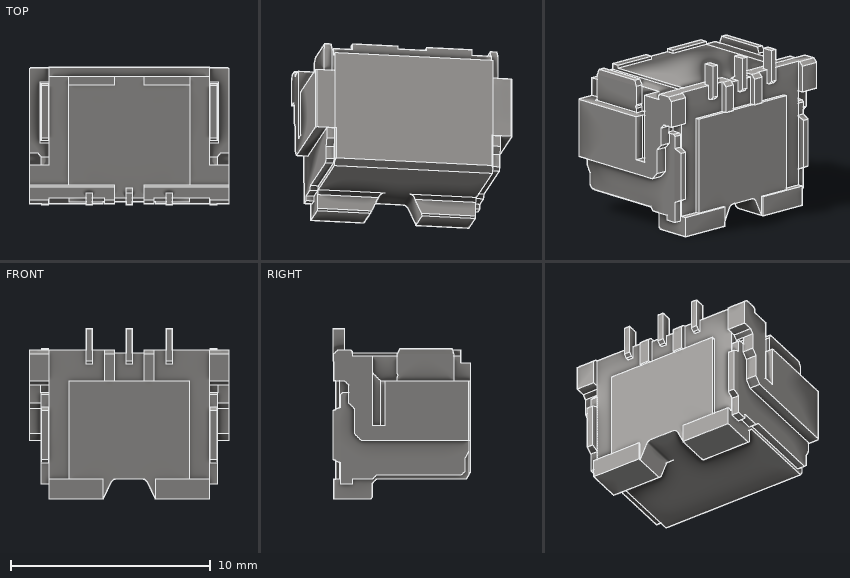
import cadquery as cq


WIDTH = 10.0
DEPTH = 6.89
HALF_WIDTH = WIDTH / 2
CORE_HALF_WIDTH = 4.02
SKIRT_HALF_WIDTH = 4.42

BELLY_Z = 1.01
SHELF_Z = 5.92
REAR_STEP_Z = 6.83
SHOULDER_Z = 7.18
LID_Z = 7.32
FLANGE_TOP_Z = 7.47
PIN_TOP_Z = 8.54

FLANGE_FRONT_Y = 0.04
PANEL_FRONT_Y = 0.14
PLATE_FRONT_Y = 0.33
SKIRT_FRONT_Y = 0.39
FLANGE_REAR_Y = 0.98
WEB_REAR_Y = 1.98
REAR_STEP_Y = 6.41
WALL_REAR_Y = 6.86

FLANGE_CHAMFER = 0.2
FLANGE_REAR_CHAMFER = 0.08
GAP_HALF_WIDTH = 0.73
RIB_OUTER_X = 1.24

LID_HALF_WIDTH = 3.04
RIDGE_DEPTH = 0.41
PANEL_HALF_WIDTH = 3.01

FOOT_INNER_X = 1.31
FOOT_CHAMFER = 0.1
NOTCH_TOP_HALF_WIDTH = 0.83
NOTCH_FILLET = 0.3
BELLY_CHAMFER = 0.2
REAR_CHAMFER_Y = 0.21
REAR_CHAMFER_Z = 0.35

WALL_BOTTOM_Z = 2.94
WALL_NOTCH_Y = 0.79
WALL_FLANK_Y = 1.08
KNEE_STEP = WALL_FLANK_Y - WALL_NOTCH_Y
WALL_KNEE_Z = 4.82
WALL_BOTTOM_CHAMFER = 0.34
CORNER_CHAMFER = 0.07
SLOT_BOTTOM_Z = 3.68
SLOT_REAR_Y = 2.6
SLOT_STEP_Y = 2.39
WEB_RAMP = SLOT_STEP_Y - WEB_REAR_Y
SLOT_STEP_X = 4.41
SLOT_LEAD_IN = 0.17

SKIRT_TOP_Z = 5.34
SKIRT_BOTTOM_Z = 0.76
SKIRT_TAB_REAR_Y = 0.97
SKIRT_REAR_Y = 6.8
SKIRT_LOWER_REAR_Y = 6.6
SKIRT_BELLY_Z = BELLY_Z + BELLY_CHAMFER
SKIRT_BEVEL_BOTTOM_Z = 2.02
SKIRT_BEVEL_TOP_Z = 2.4
SKIRT_CORNER_CHAMFER = 0.18
SKIRT_TOP_CHAMFER = 0.09
SKIRT_GAP_X = 4.45

FIN_INNER_X = CORE_HALF_WIDTH
FIN_TIP_INNER_X = 4.05
FIN_TIP_OUTER_X = 4.38
FIN_TOP_Z = 7.54
FIN_SHOULDER_Z = 7.26
FIN_ROOT_Z = 5.7
FIN_REAR_Y = 6.06
FIN_FRONT_Y = 3.21
FIN_REAR_TAPER = 0.09
FIN_FRONT_TAPER = 0.14
FIN_GROOVE_Z = 6.2
FIN_GROOVE_HALF_HEIGHT = 0.09
FIN_GROOVE_DEPTH = 0.05
FRONT_FIN_TOP_Z = 4.62
FRONT_FIN_BOTTOM_Z = 1.81
FRONT_FIN_TAPER = 0.18
FIN_POCKET_X = 4.46
FIN_POCKET_REAR_Y = 6.14
FIN_POCKET_FRONT_Y = 3.1

PIN_PITCH = 2.0
PIN_WIDTH = 0.31
PIN_DEPTH = 0.58
PIN_BOTTOM_Z = 6.76
PIN_CHAMFER = 0.16
PIN_BEND = 0.25


def box(x0, x1, y0, y1, z0, z1):
    return cq.Workplane("XY").box(x1 - x0, y1 - y0, z1 - z0, centered=False).translate((x0, y0, z0))


def slab(x0, x1, points):
    """Extrude a (y, z) outline from x0 to x1."""
    return cq.Workplane("YZ").workplane(offset=x0).polyline(points).close().extrude(x1 - x0)


def both_sides(shape):
    return shape.union(shape.mirror("YZ"))


def core():
    outline = [
        (PLATE_FRONT_Y, 0),
        (WEB_REAR_Y - FOOT_CHAMFER, 0),
        (WEB_REAR_Y, FOOT_CHAMFER),
        (WEB_REAR_Y, BELLY_Z - BELLY_CHAMFER),
        (WEB_REAR_Y + BELLY_CHAMFER, BELLY_Z),
        (DEPTH - REAR_CHAMFER_Y, BELLY_Z),
        (DEPTH, BELLY_Z + REAR_CHAMFER_Z),
        (DEPTH, REAR_STEP_Z),
        (REAR_STEP_Y, REAR_STEP_Z),
        (REAR_STEP_Y, SHOULDER_Z),
        (PLATE_FRONT_Y, SHOULDER_Z),
    ]
    body = slab(-CORE_HALF_WIDTH, CORE_HALF_WIDTH, outline)
    lid = box(-LID_HALF_WIDTH, LID_HALF_WIDTH, PLATE_FRONT_Y, REAR_STEP_Y, SHOULDER_Z, LID_Z)
    ridge_front_y = REAR_STEP_Y - RIDGE_DEPTH
    ridge = box(GAP_HALF_WIDTH, LID_HALF_WIDTH, ridge_front_y, REAR_STEP_Y, SHOULDER_Z, FLANGE_TOP_Z)
    edge = CORE_HALF_WIDTH - CORNER_CHAMFER
    edge_cut = (
        cq.Workplane("XY")
        .polyline([
            (edge, DEPTH),
            (CORE_HALF_WIDTH, DEPTH),
            (CORE_HALF_WIDTH, DEPTH - CORNER_CHAMFER),
        ])
        .close()
        .extrude(WALL_BOTTOM_Z)
    )
    return body.union(lid).union(both_sides(ridge)).cut(both_sides(edge_cut))


def cable_notch():
    notch = (
        cq.Workplane("XZ")
        .polyline([
            (-FOOT_INNER_X, 0),
            (-NOTCH_TOP_HALF_WIDTH, BELLY_Z),
            (NOTCH_TOP_HALF_WIDTH, BELLY_Z),
            (FOOT_INNER_X, 0),
        ])
        .close()
        .extrude(-WEB_REAR_Y - BELLY_CHAMFER)
    )
    return notch.edges("|Y").edges(">Z").fillet(NOTCH_FILLET)


def front_flange():
    """Top flange, with ribs and end blocks standing proud of the front plate."""
    top = slab(GAP_HALF_WIDTH, HALF_WIDTH, [
        (PLATE_FRONT_Y, SHOULDER_Z),
        (PLATE_FRONT_Y, FLANGE_TOP_Z),
        (FLANGE_REAR_Y - FLANGE_REAR_CHAMFER, FLANGE_TOP_Z),
        (FLANGE_REAR_Y, FLANGE_TOP_Z - FLANGE_REAR_CHAMFER),
        (FLANGE_REAR_Y, SHOULDER_Z),
    ])
    proud = [
        (PLATE_FRONT_Y, SHELF_Z),
        (FLANGE_FRONT_Y, SHELF_Z),
        (FLANGE_FRONT_Y, FLANGE_TOP_Z - FLANGE_CHAMFER),
        (FLANGE_FRONT_Y + FLANGE_CHAMFER, FLANGE_TOP_Z),
        (PLATE_FRONT_Y, FLANGE_TOP_Z),
    ]
    rib = slab(GAP_HALF_WIDTH, RIB_OUTER_X, proud)
    end_block = slab(CORE_HALF_WIDTH, HALF_WIDTH, proud)
    return both_sides(top.union(rib).union(end_block))


def front_pads():
    """Raised panel with a tongue reaching down between the two foot pads."""
    panel = box(-PANEL_HALF_WIDTH, PANEL_HALF_WIDTH, PANEL_FRONT_Y, PLATE_FRONT_Y, BELLY_Z, SHELF_Z)
    foot = box(FOOT_INNER_X, CORE_HALF_WIDTH, FLANGE_FRONT_Y, PLATE_FRONT_Y, 0, BELLY_Z)
    tongue = box(-FOOT_INNER_X, FOOT_INNER_X, PANEL_FRONT_Y, PLATE_FRONT_Y, 0, BELLY_Z)
    return panel.union(tongue).union(both_sides(foot))


def side_wall():
    wall = slab(CORE_HALF_WIDTH, HALF_WIDTH, [
        (PLATE_FRONT_Y, SHELF_Z),
        (WALL_NOTCH_Y - FLANGE_CHAMFER, SHELF_Z),
        (WALL_NOTCH_Y, SHELF_Z - FLANGE_CHAMFER),
        (WALL_NOTCH_Y, WALL_KNEE_Z),
        (WALL_FLANK_Y, WALL_KNEE_Z - KNEE_STEP),
        (WALL_FLANK_Y, WALL_BOTTOM_Z + WALL_BOTTOM_CHAMFER),
        (WALL_FLANK_Y + WALL_BOTTOM_CHAMFER, WALL_BOTTOM_Z),
        (WALL_REAR_Y, WALL_BOTTOM_Z),
        (WALL_REAR_Y, SHELF_Z),
        (SLOT_STEP_Y, SHELF_Z),
        (WEB_REAR_Y, SHELF_Z + WEB_RAMP),
        (WEB_REAR_Y, SHOULDER_Z),
        (PLATE_FRONT_Y, SHOULDER_Z),
    ])
    wall = wall.edges("|Z").edges(">X and >Y").chamfer(CORNER_CHAMFER)
    slot = (
        cq.Workplane("XY")
        .workplane(offset=SLOT_BOTTOM_Z)
        .polyline([
            (HALF_WIDTH, WEB_REAR_Y),
            (SLOT_STEP_X, WEB_REAR_Y),
            (SLOT_STEP_X, SLOT_STEP_Y),
            (SLOT_STEP_X + SLOT_LEAD_IN, SLOT_REAR_Y),
            (HALF_WIDTH, SLOT_REAR_Y),
        ])
        .close()
        .extrude(SHOULDER_Z - SLOT_BOTTOM_Z)
    )
    gap_top_z = SHELF_Z - FLANGE_CHAMFER
    skirt_gap = box(CORE_HALF_WIDTH, SKIRT_GAP_X, PLATE_FRONT_Y, SKIRT_TAB_REAR_Y, SKIRT_TOP_Z, gap_top_z)
    pocket = box(CORE_HALF_WIDTH, FIN_POCKET_X, FIN_POCKET_FRONT_Y, FIN_POCKET_REAR_Y, FIN_ROOT_Z, SHELF_Z)
    return wall.cut(slot).cut(skirt_gap).cut(pocket)


def skirt():
    return slab(CORE_HALF_WIDTH, SKIRT_HALF_WIDTH, [
        (SKIRT_FRONT_Y, SKIRT_BOTTOM_Z),
        (SKIRT_TAB_REAR_Y, SKIRT_BOTTOM_Z),
        (SKIRT_TAB_REAR_Y, BELLY_Z),
        (WEB_REAR_Y, BELLY_Z),
        (WEB_REAR_Y + BELLY_CHAMFER, SKIRT_BELLY_Z),
        (SKIRT_LOWER_REAR_Y - SKIRT_CORNER_CHAMFER, SKIRT_BELLY_Z),
        (SKIRT_LOWER_REAR_Y, SKIRT_BELLY_Z + SKIRT_CORNER_CHAMFER),
        (SKIRT_LOWER_REAR_Y, SKIRT_BEVEL_BOTTOM_Z),
        (SKIRT_REAR_Y, SKIRT_BEVEL_TOP_Z),
        (SKIRT_REAR_Y, WALL_BOTTOM_Z),
        (WALL_FLANK_Y + WALL_BOTTOM_CHAMFER, WALL_BOTTOM_Z),
        (WALL_FLANK_Y, WALL_BOTTOM_Z + WALL_BOTTOM_CHAMFER),
        (WALL_FLANK_Y, WALL_KNEE_Z - KNEE_STEP),
        (WALL_NOTCH_Y, WALL_KNEE_Z),
        (WALL_NOTCH_Y, SKIRT_TOP_Z),
        (SKIRT_FRONT_Y + SKIRT_TOP_CHAMFER, SKIRT_TOP_Z),
        (SKIRT_FRONT_Y, SKIRT_TOP_Z - SKIRT_TOP_CHAMFER),
    ])


def frustum(plane, base_offset, tip_offset, base, tip):
    """Loft between two rectangles given as (u0, u1, v0, v1) on parallel planes."""
    def corners(u0, u1, v0, v1):
        return [(u0, v0), (u1, v0), (u1, v1), (u0, v1)]
    return (
        cq.Workplane(plane).workplane(offset=base_offset).polyline(corners(*base)).close()
        .workplane(offset=tip_offset - base_offset).polyline(corners(*tip)).close()
        .loft(ruled=True)
    )


def top_fin():
    stem = box(FIN_INNER_X, SKIRT_HALF_WIDTH, FIN_FRONT_Y, FIN_REAR_Y, FIN_ROOT_Z, FIN_SHOULDER_Z)
    tip = frustum(
        "XY", FIN_SHOULDER_Z, FIN_TOP_Z,
        (FIN_INNER_X, SKIRT_HALF_WIDTH, FIN_FRONT_Y, FIN_REAR_Y),
        (FIN_TIP_INNER_X, FIN_TIP_OUTER_X, FIN_FRONT_Y + FIN_FRONT_TAPER, FIN_REAR_Y - FIN_REAR_TAPER),
    )
    groove = slab(FIN_INNER_X, SKIRT_HALF_WIDTH, [
        (FIN_FRONT_Y, FIN_GROOVE_Z - FIN_GROOVE_HALF_HEIGHT),
        (FIN_FRONT_Y + FIN_GROOVE_DEPTH, FIN_GROOVE_Z),
        (FIN_FRONT_Y, FIN_GROOVE_Z + FIN_GROOVE_HALF_HEIGHT),
    ])
    return stem.union(tip).cut(groove)


def front_fin():
    tip_bottom_z = FRONT_FIN_BOTTOM_Z + FRONT_FIN_TAPER
    tip_top_z = FRONT_FIN_TOP_Z - FRONT_FIN_TAPER
    return frustum(
        "XZ", -SKIRT_FRONT_Y, 0,
        (FIN_INNER_X, SKIRT_HALF_WIDTH, FRONT_FIN_BOTTOM_Z, FRONT_FIN_TOP_Z),
        (FIN_TIP_INNER_X, FIN_TIP_OUTER_X, tip_bottom_z, tip_top_z),
    )


def pin(x):
    outline = [
        (0, PIN_BOTTOM_Z + PIN_CHAMFER),
        (0, PIN_TOP_Z),
        (PIN_DEPTH, PIN_TOP_Z),
        (PIN_DEPTH, LID_Z + PIN_CHAMFER),
        (PIN_DEPTH + PIN_BEND, LID_Z),
        (PIN_DEPTH + PIN_BEND, PIN_BOTTOM_Z),
        (PIN_CHAMFER, PIN_BOTTOM_Z),
    ]
    return slab(x - PIN_WIDTH / 2, x + PIN_WIDTH / 2, outline)


side = side_wall().union(skirt()).union(top_fin()).union(front_fin())

result = core().union(front_flange()).union(front_pads()).cut(cable_notch()).union(both_sides(side))
for position in (-1, 0, 1):
    result = result.union(pin(position * PIN_PITCH))